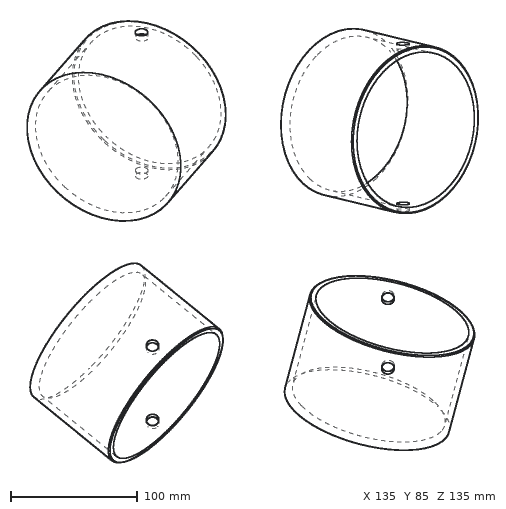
import cadquery as cq

diameter = 135.0
length = 85.0
wall = 5.0
rim_chamfer = 1.0

hole_diameter = 10.0
hole_from_rim = 15.0

radius = diameter / 2
rim_y = length / 2

body = (
    cq.Workplane("XZ", origin=(0, rim_y, 0))
    .circle(radius)
    .extrude(length)
    .faces(">Y")
    .edges()
    .chamfer(rim_chamfer)
)

cavity = (
    cq.Workplane("XZ", origin=(0, rim_y, 0))
    .circle(radius - wall)
    .extrude(length - wall)
)

cross_hole = (
    cq.Workplane("XY", origin=(0, rim_y - hole_from_rim, -radius))
    .circle(hole_diameter / 2)
    .extrude(diameter)
)

result = body.cut(cavity).cut(cross_hole)